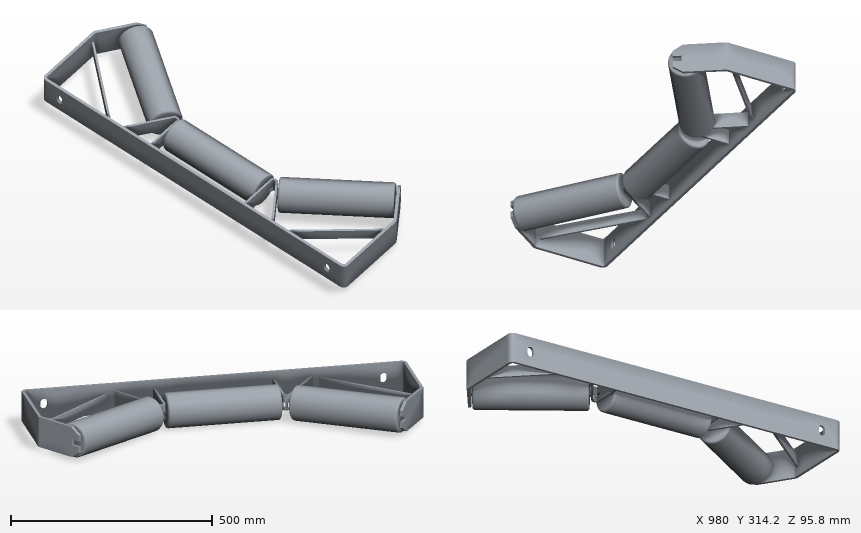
import cadquery as cq
import math

frame_length = 980.0
frame_height = 79.0
frame_wall = 8.0
bend_radius = 14.0
arm_length = 135.0
arm_corner_run = 25.0
arm_corner_drop = 17.0
mount_hole_width = 18.0
mount_hole_height = 26.0
mount_hole_x = 432.0

roller_length = 290.0
roller_diameter = 89.0
roller_edge_radius = 6.0
shaft_diameter = 20.0
tongue_thickness = 15.0
tongue_width = 18.0
end_gap = 4.0
slot_reach = 98.0
slot_margin = 1.0
shaft_projection = 3.4
centre_roller_y = 100.0
centre_roller_z = -7.35
wing_x = 302.0
wing_y = 197.0
wing_z = -4.0
trough_angle = 35.0
wing_tilt = 1.4

bracket_wall = 6.0
bracket_height = 40.0
bracket_top_y = 130.0
bracket_bend_radius = 8.0
brace_wall = 6.0
brace_height = 29.0
brace_wall_y = 193.0
brace_base_x = 268.0

half_length = frame_length / 2
half_span = roller_length / 2 + end_gap
sin_trough = math.sin(math.radians(trough_angle))
cos_trough = math.cos(math.radians(trough_angle))
arm_offset = half_span + frame_wall
arm_bend_y = wing_y + (arm_offset - (half_length - wing_x) * cos_trough) / sin_trough


def mirrored(body):
    """Copy of a left-hand body on the right-hand side."""
    return body.mirror("YZ")


def round_bends(body, points, radius):
    """Fillet the vertical edges that stand at the given plan points."""
    for x, y in points:
        body = body.edges(cq.NearestToPointSelector((x, y, 0))).fillet(radius)
    return body


def place_wing(body):
    """Move a body built along X about the origin to the left wing axis."""
    return (
        body.rotate((0, 0, 0), (0, 1, 0), wing_tilt)
        .rotate((0, 0, 0), (0, 0, 1), -trough_angle)
        .translate((-wing_x, wing_y, wing_z))
    )


def place_centre(body):
    """Move a body built along X about the origin to the centre roller axis."""
    return body.translate((0, centre_roller_y, centre_roller_z))


def along_x(diameter, length):
    """Cylinder on the X axis, centred on the origin."""
    return cq.Workplane("YZ", origin=(-length / 2, 0, 0)).circle(diameter / 2).extrude(length)


def make_roller(left_wall, right_wall):
    """Roller about X with a round shaft and a flat tongue filling each support wall."""
    shell = along_x(roller_diameter, roller_length).faces("<X or >X").edges().fillet(roller_edge_radius)
    shaft = along_x(shaft_diameter, roller_length + 2 * shaft_projection)
    tongue_length = 2 * half_span + left_wall + right_wall
    tongue = cq.Workplane("XY").box(tongue_length, tongue_width, tongue_thickness)
    tongue = tongue.translate(((right_wall - left_wall) / 2, 0, 0))
    return shell.union(shaft).union(tongue)


def make_slot(side, wall):
    """Cutter for a tongue slot, open at the top, through the support wall at one end of a roller."""
    depth = wall + 2 * slot_margin
    cutter = cq.Workplane("XY").box(depth, slot_reach, tongue_thickness)
    return cutter.translate((side * (half_span + wall / 2), (slot_reach - tongue_width) / 2, 0))


def make_frame():
    """Folded strip with clipped, slotted arm tips and two mounting slots in its base."""
    arm_tip_x = -half_length + arm_length * sin_trough
    arm_tip_y = arm_bend_y + arm_length * cos_trough
    outer_path = [(arm_tip_x, arm_tip_y), (-half_length, arm_bend_y), (-half_length, 0)]
    outer_path += [(-x, y) for x, y in reversed(outer_path)]
    bend_half = math.tan(math.radians(trough_angle / 2)) * frame_wall
    inner_path = [
        (arm_tip_x + frame_wall * cos_trough, arm_tip_y - frame_wall * sin_trough),
        (-half_length + frame_wall, arm_bend_y - bend_half),
        (-half_length + frame_wall, frame_wall),
    ]
    inner_path += [(-x, y) for x, y in reversed(inner_path)]
    strip = (
        cq.Workplane("XY").polyline(outer_path + inner_path[::-1]).close()
        .extrude(frame_height / 2, both=True)
    )
    strip = round_bends(strip, outer_path[1:-1], bend_radius)
    strip = round_bends(strip, inner_path[1:-1], bend_radius - frame_wall)

    corner = (
        cq.Workplane("YZ")
        .polyline([(0, 0), (-arm_corner_run, 0), (0, -arm_corner_drop)]).close()
        .extrude(2 * frame_wall, both=True)
        .translate((0, 0, frame_height / 2))
        .rotate((0, 0, 0), (0, 0, 1), -trough_angle)
        .translate((arm_tip_x, arm_tip_y, 0))
    )
    slot = place_wing(make_slot(-1, frame_wall))
    for cutter in (corner, corner.mirror("XY"), slot):
        strip = strip.cut(cutter).cut(mirrored(cutter))

    holes = (
        cq.Workplane("XZ").pushPoints([(-mount_hole_x, 0), (mount_hole_x, 0)])
        .slot2D(mount_hole_height, mount_hole_width, 90).extrude(-frame_wall)
    )
    return strip.cut(holes)


def make_bracket():
    """Folded support: leg square to the wing axis, bridge, and leg beside the centre roller."""
    face_x = -wing_x + half_span * cos_trough
    face_y = wing_y - half_span * sin_trough

    def leg_x(y, depth):
        """X on the sloping leg at height y, the given depth behind its roller-side face."""
        return face_x + depth / cos_trough + (y - face_y) * sin_trough / cos_trough

    under_y = bracket_top_y - bracket_wall
    outer_path = [
        (leg_x(frame_wall, 0), frame_wall),
        (leg_x(bracket_top_y, 0), bracket_top_y),
        (-half_span, bracket_top_y),
        (-half_span, frame_wall),
    ]
    inner_path = [
        (-half_span - bracket_wall, frame_wall),
        (-half_span - bracket_wall, under_y),
        (leg_x(under_y, bracket_wall), under_y),
        (leg_x(frame_wall, bracket_wall), frame_wall),
    ]
    bracket = (
        cq.Workplane("XY").polyline(outer_path + inner_path).close()
        .extrude(bracket_height / 2, both=True)
    )
    bracket = round_bends(bracket, outer_path[2:3], bracket_bend_radius)
    bracket = round_bends(bracket, inner_path[1:2], bracket_bend_radius - bracket_wall)
    return bracket.cut(place_wing(make_slot(1, bracket_wall))).cut(place_centre(make_slot(-1, bracket_wall)))


def make_brace():
    """Flat diagonal strip from the frame side to the frame base."""
    start = (-half_length + frame_wall, brace_wall_y)
    end = (-brace_base_x, frame_wall)
    slope = math.atan2(start[1] - end[1], end[0] - start[0])
    drop = brace_wall / math.cos(slope)
    shift = brace_wall / math.sin(slope)
    outline = [start, end, (end[0] - shift, end[1]), (start[0], start[1] - drop)]
    return (
        cq.Workplane("XY", origin=(0, 0, -brace_height / 2))
        .polyline(outline).close().extrude(brace_height)
    )


frame = make_frame()
bracket = make_bracket()
brace = make_brace()
wing_roller = place_wing(make_roller(frame_wall, bracket_wall))
centre_roller = place_centre(make_roller(bracket_wall, bracket_wall))
bodies = [frame, centre_roller]
for left_body in (wing_roller, bracket, brace):
    bodies += [left_body, mirrored(left_body)]

result = cq.Compound.makeCompound([body.solids().val() for body in bodies])